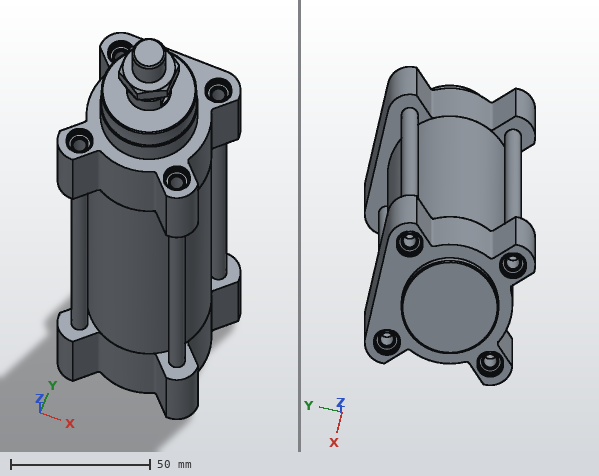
import cadquery as cq
import math

rear_boss_length = 4.0
cap_length = 33.0
tube_length = 119.4
front_boss_length = 10.3
collar_length = 10.6
overall_length = 241.9

rear_cap_z = rear_boss_length
tube_z = rear_cap_z + cap_length
front_cap_z = tube_z + tube_length
front_boss_z = front_cap_z + cap_length
collar_z = front_boss_z + front_boss_length
collar_top_z = collar_z + collar_length

cap_width = 54.0
cap_diameter = 45.0
tube_diameter = 44.9
tie_rod_spacing = 38.0
tie_rod_diameter = 6.0
lug_width = 12.4
cap_corner_radius = (cap_width - tie_rod_spacing) / 2
lug_root_radius = 1.2
boss_diameter = 35.0
boss_edge_chamfer = 0.5

collar_diameter = 34.2
collar_waist_diameter = 33.7
collar_chamfer = 0.5

screw_hole_steps = [(9.5, 1.0), (8.8, 2.0), (8.0, 3.0), (6.0, 4.0), (4.92, 14.0)]
drill_point_angle = 118.0

rod_diameter = 16.0
rod_flats_width = 13.0
rod_flats_length = 6.7
thread_diameter = 12.0
thread_relief_diameter = 10.65
thread_chamfer_depth = (thread_diameter - thread_relief_diameter) / 2
thread_tip_chamfer_length = 0.9
thread_length = 21.9
thread_runout_length = 1.8
shoulder_depth = 23.5
shoulder_chamfer = 0.5
rod_base_z = front_cap_z
shoulder_z = overall_length - shoulder_depth

nut_across_flats = 19.0
nut_height = 6.5
nut_top_depth = 12.6
nut_chamfer_angle = 30.0
nut_face_diameter = 18.8
nut_z = overall_length - nut_top_depth - nut_height

half_spacing = tie_rod_spacing / 2
tie_rod_points = [(x, y) for x in (-half_spacing, half_spacing) for y in (-half_spacing, half_spacing)]


def cylinder(diameter, base_z, length):
    return cq.Workplane("XY").workplane(offset=base_z).circle(diameter / 2).extrude(length)


def lug_arm(angle, base_z):
    """Straight bar through the axis that carries two opposite lugs."""
    bar = cq.Workplane("XY").workplane(offset=base_z).rect(2 * cap_width, lug_width).extrude(cap_length)
    return bar.rotate((0, 0, 0), (0, 0, 1), angle)


def end_cap(base_z):
    """Round cap with four diagonal lugs; the two lugs on the +Y side are joined by a flat-sided web."""
    envelope = (
        cq.Workplane("XY")
        .workplane(offset=base_z)
        .rect(cap_width, cap_width)
        .extrude(cap_length)
        .edges("|Z")
        .fillet(cap_corner_radius)
    )
    lugs = lug_arm(45, base_z).union(lug_arm(-45, base_z)).intersect(envelope)
    cap = cylinder(cap_diameter, base_z, cap_length).union(lugs)
    root_limit = cap_diameter / 2 + lug_root_radius
    root_edges = cap.edges("|Z").filter(
        lambda edge: math.hypot(edge.Center().x, edge.Center().y) < root_limit
    )
    cap = root_edges.fillet(lug_root_radius)
    web = (
        cq.Workplane("XY")
        .workplane(offset=base_z)
        .polyline([(0, 0), (half_spacing, half_spacing), (half_spacing, cap_width / 2),
                   (-half_spacing, cap_width / 2), (-half_spacing, half_spacing)])
        .close()
        .extrude(cap_length)
    )
    return cap.union(web)


def screw_hole():
    """Stepped blind hole with a conical end, opening upwards at Z = 0 and centred on the Z axis."""
    outline = cq.Workplane("XZ").moveTo(0, 0)
    previous_depth = 0.0
    for diameter, depth in screw_hole_steps:
        outline = outline.lineTo(diameter / 2, -previous_depth).lineTo(diameter / 2, -depth)
        previous_depth = depth
    drill_radius = screw_hole_steps[-1][0] / 2
    point_length = drill_radius / math.tan(math.radians(drill_point_angle / 2))
    outline = outline.lineTo(0, -previous_depth - point_length).close()
    return outline.revolve(360, (0, 0, 0), (0, 1, 0))


def collar():
    """Ring on the front boss with chamfered rims and a shallow concave side."""
    outer = collar_diameter / 2
    rim = outer - collar_chamfer
    side_bottom_z = collar_z + collar_chamfer
    side_top_z = collar_top_z - collar_chamfer
    return (
        cq.Workplane("XZ")
        .moveTo(0, collar_z)
        .lineTo(rim, collar_z)
        .lineTo(outer, side_bottom_z)
        .threePointArc((collar_waist_diameter / 2, collar_z + collar_length / 2), (outer, side_top_z))
        .lineTo(rim, collar_top_z)
        .lineTo(0, collar_top_z)
        .close()
        .revolve(360, (0, 0, 0), (0, 1, 0))
    )


def make_cylinder_body():
    body = cylinder(boss_diameter, 0, rear_boss_length).faces("<Z").chamfer(boss_edge_chamfer)
    body = body.union(end_cap(rear_cap_z))
    body = body.union(cylinder(tube_diameter, tube_z, tube_length))
    body = body.union(end_cap(front_cap_z))
    front_boss = cylinder(boss_diameter, front_boss_z, front_boss_length)
    body = body.union(front_boss).union(collar())
    for x, y in tie_rod_points:
        tie_rod = cylinder(tie_rod_diameter, tube_z, tube_length).translate((x, y, 0))
        body = body.union(tie_rod)
        front_hole = screw_hole().translate((x, y, front_boss_z))
        rear_hole = screw_hole().rotate((0, 0, 0), (1, 0, 0), 180).translate((x, y, rear_cap_z))
        body = body.cut(front_hole).cut(rear_hole)
    return body.cut(cylinder(rod_diameter, rod_base_z, overall_length - rod_base_z))


def make_piston_rod():
    thread_base_z = overall_length - thread_length
    relief = cylinder(thread_relief_diameter, shoulder_z, thread_base_z - shoulder_z)
    thread = cylinder(thread_diameter, thread_base_z, thread_length)
    thread = thread.faces(">Z").chamfer(thread_tip_chamfer_length, thread_chamfer_depth)
    thread = thread.faces("<Z").chamfer(thread_runout_length, thread_chamfer_depth)
    shank = cylinder(rod_diameter, rod_base_z, shoulder_z - rod_base_z)
    shank = shank.faces(">Z").chamfer(shoulder_chamfer)
    flats_z = shoulder_z - rod_flats_length
    flatted_section = (
        cq.Workplane("XY")
        .workplane(offset=flats_z)
        .rect(rod_flats_width, rod_diameter)
        .extrude(rod_flats_length)
    )
    flats_waste = cylinder(2 * rod_diameter, flats_z, rod_flats_length).cut(flatted_section)
    shank = shank.cut(flats_waste)
    return shank.union(relief).union(thread)


def make_lock_nut():
    """Hexagon with corners along Y, turned to a 30 degree cone at both ends."""
    corner_radius = nut_across_flats / math.sqrt(3)
    face_radius = nut_face_diameter / 2
    cone_drop = (corner_radius - face_radius) * math.tan(math.radians(nut_chamfer_angle))
    hexagon = (
        cq.Workplane("XY")
        .workplane(offset=nut_z)
        .transformed(rotate=(0, 0, 90))
        .polygon(6, 2 * corner_radius)
        .extrude(nut_height)
    )
    turned = (
        cq.Workplane("XZ")
        .polyline([(0, nut_z), (face_radius, nut_z), (corner_radius, nut_z + cone_drop),
                   (corner_radius, nut_z + nut_height - cone_drop), (face_radius, nut_z + nut_height),
                   (0, nut_z + nut_height)])
        .close()
        .revolve(360, (0, 0, 0), (0, 1, 0))
    )
    return hexagon.intersect(turned).cut(cylinder(thread_diameter, nut_z, nut_height))


cylinder_body = make_cylinder_body()
piston_rod = make_piston_rod()
lock_nut = make_lock_nut()

result = cq.Compound.makeCompound([cylinder_body.val(), piston_rod.val(), lock_nut.val()])